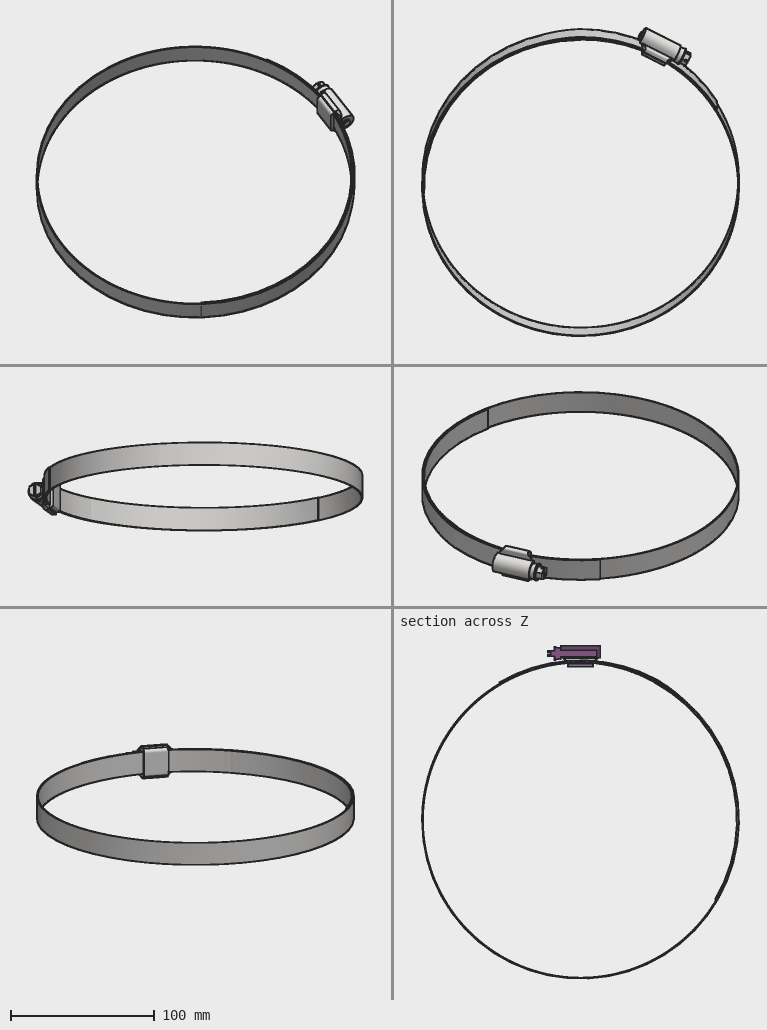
import cadquery as cq
import math

BAND_WIDTH = 16.0
BAND_THICKNESS = 0.81
LAYER_GAP = 0.05
LAYER_PITCH = BAND_THICKNESS + LAYER_GAP
MAIN_OUTER_RADIUS = 110.2
MAIN_RADIUS = MAIN_OUTER_RADIUS - BAND_THICKNESS
INNER_LAP_RADIUS = MAIN_RADIUS - LAYER_PITCH
OUTER_LAP_RADIUS = MAIN_RADIUS + LAYER_PITCH
FULL_TURN = 360
INNER_END_ANGLE = -30.5
JOG_ANGLE = 61.5
INNER_STEP_SPAN = 0.7
INNER_STEP_RISE = 0.2
INNER_RAMP_SPAN = 22.5
OUTER_RAMP_SPAN = 12.5
SEAM_ANGLE = 180
OUTER_END_ANGLE = 120.5

TOTAL_TOP = 122.2
DOME_RADIUS = 6.5
SCREW_Y = TOTAL_TOP - DOME_RADIUS
HEAD_START = -22.8
HEAD_FLATS = 8.4
HEAD_SIDES = 6
SLOT_WIDTH = 1.5
SLOT_DEPTH = 2.0
WASHER_START = -18.1
WASHER_THICKNESS = 0.7
WASHER_RADIUS = 6.0
COLLAR_RADIUS = 5.8
COLLAR_NECK_RADIUS = 5.3
SHANK_RADIUS = 4.5
TIP_RADIUS = 2.8
TIP_END = 15.0

HOUSING_HALF_LENGTH = 13.7
END_WALL = 2.0
DOME_BASE_Y = 112.7
PLATE_TOP_Y = 113.5
PLATE_BOTTOM_Y = 112.2
FOOT_BOTTOM_Y = 109.5
FOOT_HALF_WIDTH = 11.5
FOOT_HALF_LENGTH = 8.8
FOOT_ROUND = 1.5
PLATE_HALF_LENGTH = 11.9
BAND_SLOT_HALF_WIDTH = 8.1

SADDLE_BOTTOM_Y = 106.5
SADDLE_FLOOR_Y = 108.8
SADDLE_HALF_WIDTH = 10.1
SADDLE_HALF_LENGTH = 8.71
SADDLE_ROUND = 2.3


def polar(radius, angle):
    """Point at a radius and an angle in degrees from +X."""
    return (radius * math.cos(math.radians(angle)), radius * math.sin(math.radians(angle)))


def band_stretches():
    """Start and end (inner-face radius, angle) of each stretch of the winding."""
    knots = [
        (INNER_LAP_RADIUS, INNER_END_ANGLE),
        (INNER_LAP_RADIUS, JOG_ANGLE),
        (INNER_LAP_RADIUS + INNER_STEP_RISE, JOG_ANGLE + INNER_STEP_SPAN),
        (MAIN_RADIUS, JOG_ANGLE + INNER_RAMP_SPAN),
        (MAIN_RADIUS, SEAM_ANGLE),
        (MAIN_RADIUS, FULL_TURN + JOG_ANGLE - OUTER_RAMP_SPAN),
        (OUTER_LAP_RADIUS, FULL_TURN + JOG_ANGLE),
        (OUTER_LAP_RADIUS, FULL_TURN + OUTER_END_ANGLE),
    ]
    return list(zip(knots[:-1], knots[1:]))


def wind(path, stretches, offset):
    """Continue the path with one arc per stretch, offset outward from the inner face."""
    for (start_radius, start_angle), (end_radius, end_angle) in stretches:
        middle_radius = (start_radius + end_radius) / 2 + offset
        middle = polar(middle_radius, (start_angle + end_angle) / 2)
        path = path.threePointArc(middle, polar(end_radius + offset, end_angle))
    return path


def make_band():
    forward = band_stretches()
    backward = [(end, start) for start, end in reversed(forward)]
    outer_end = polar(OUTER_LAP_RADIUS + BAND_THICKNESS, OUTER_END_ANGLE)
    path = cq.Workplane("XY", origin=(0, 0, -BAND_WIDTH / 2)).moveTo(*polar(INNER_LAP_RADIUS, INNER_END_ANGLE))
    path = wind(path, forward, 0).lineTo(*outer_end)
    path = wind(path, backward, BAND_THICKNESS).close()
    return path.extrude(BAND_WIDTH)


def make_screw():
    collar_start = WASHER_START + WASHER_THICKNESS
    shank_end = HOUSING_HALF_LENGTH - END_WALL
    screw = (
        cq.Workplane("XZ")
        .moveTo(WASHER_START, 0)
        .lineTo(WASHER_START, WASHER_RADIUS)
        .lineTo(collar_start, WASHER_RADIUS)
        .lineTo(collar_start, COLLAR_RADIUS)
        .lineTo(-HOUSING_HALF_LENGTH, COLLAR_NECK_RADIUS)
        .lineTo(-HOUSING_HALF_LENGTH, SHANK_RADIUS)
        .lineTo(shank_end, SHANK_RADIUS)
        .lineTo(shank_end, TIP_RADIUS)
        .lineTo(TIP_END, TIP_RADIUS)
        .lineTo(TIP_END, 0)
        .close()
        .revolve(FULL_TURN, (0, 0, 0), (1, 0, 0))
    )
    corner_diameter = HEAD_FLATS / math.cos(math.pi / HEAD_SIDES)
    head = (
        cq.Workplane("YZ", origin=(HEAD_START, 0, 0))
        .transformed(rotate=(0, 0, 90))
        .polygon(HEAD_SIDES, corner_diameter)
        .extrude(WASHER_START - HEAD_START)
    )
    slot = cq.Workplane("XY").box(2 * SLOT_DEPTH, SLOT_WIDTH, 2 * HEAD_FLATS)
    slot = slot.translate((HEAD_START, 0, 0))
    return screw.union(head).cut(slot).translate((0, SCREW_Y, 0))


def make_dome():
    return (
        cq.Workplane("YZ", origin=(-HOUSING_HALF_LENGTH, 0, 0))
        .moveTo(DOME_BASE_Y, -DOME_RADIUS)
        .lineTo(SCREW_Y, -DOME_RADIUS)
        .threePointArc((TOTAL_TOP, 0), (SCREW_Y, DOME_RADIUS))
        .lineTo(DOME_BASE_Y, DOME_RADIUS)
        .close()
        .extrude(2 * HOUSING_HALF_LENGTH)
    )


def make_foot_plate():
    """Plate whose rounded long edges turn down beside the band, with ends mitred and tapered."""
    profile = (
        cq.Workplane("YZ", origin=(-HOUSING_HALF_LENGTH, 0, 0))
        .moveTo(PLATE_TOP_Y, -FOOT_HALF_WIDTH)
        .lineTo(PLATE_TOP_Y, FOOT_HALF_WIDTH)
        .lineTo(FOOT_BOTTOM_Y, FOOT_HALF_WIDTH)
        .lineTo(FOOT_BOTTOM_Y, BAND_SLOT_HALF_WIDTH)
        .lineTo(PLATE_BOTTOM_Y, BAND_SLOT_HALF_WIDTH)
        .lineTo(PLATE_BOTTOM_Y, -BAND_SLOT_HALF_WIDTH)
        .lineTo(FOOT_BOTTOM_Y, -BAND_SLOT_HALF_WIDTH)
        .lineTo(FOOT_BOTTOM_Y, -FOOT_HALF_WIDTH)
        .close()
        .extrude(2 * HOUSING_HALF_LENGTH)
        .edges("|X and >Y")
        .fillet(FOOT_ROUND)
    )
    corner = [(PLATE_HALF_LENGTH, BAND_SLOT_HALF_WIDTH), (FOOT_HALF_LENGTH, FOOT_HALF_WIDTH)]
    outline = corner + [(-x, z) for x, z in reversed(corner)]
    outline += [(-x, -z) for x, z in corner] + [(x, -z) for x, z in reversed(corner)]
    mitre = cq.Workplane("XZ").polyline(outline).close().extrude(-TOTAL_TOP)
    taper = (
        cq.Workplane("XY", origin=(0, 0, -FOOT_HALF_WIDTH))
        .moveTo(-PLATE_HALF_LENGTH, PLATE_TOP_Y)
        .lineTo(PLATE_HALF_LENGTH, PLATE_TOP_Y)
        .lineTo(PLATE_HALF_LENGTH, PLATE_BOTTOM_Y)
        .lineTo(FOOT_HALF_LENGTH, FOOT_BOTTOM_Y)
        .lineTo(-FOOT_HALF_LENGTH, FOOT_BOTTOM_Y)
        .lineTo(-PLATE_HALF_LENGTH, PLATE_BOTTOM_Y)
        .close()
        .extrude(2 * FOOT_HALF_WIDTH)
    )
    return profile.intersect(mitre).intersect(taper)


def make_housing(screw):
    return make_dome().union(make_foot_plate()).cut(screw)


def make_saddle():
    block = (
        cq.Workplane("XY")
        .box(
            2 * SADDLE_HALF_LENGTH,
            FOOT_BOTTOM_Y - SADDLE_BOTTOM_Y,
            2 * SADDLE_HALF_WIDTH,
        )
        .translate((0, (FOOT_BOTTOM_Y + SADDLE_BOTTOM_Y) / 2, 0))
        .edges("|X and <Y")
        .fillet(SADDLE_ROUND)
    )
    channel_depth = FOOT_BOTTOM_Y - SADDLE_FLOOR_Y
    channel = (
        cq.Workplane("XY")
        .box(2 * SADDLE_HALF_LENGTH, channel_depth, 2 * BAND_SLOT_HALF_WIDTH)
        .translate((0, SADDLE_FLOOR_Y + channel_depth / 2, 0))
    )
    return block.cut(channel)


band = make_band()
screw = make_screw()
housing = make_housing(screw)
saddle = make_saddle()

bodies = [band, screw, housing, saddle]
result = cq.Compound.makeCompound([body.solids().val() for body in bodies])